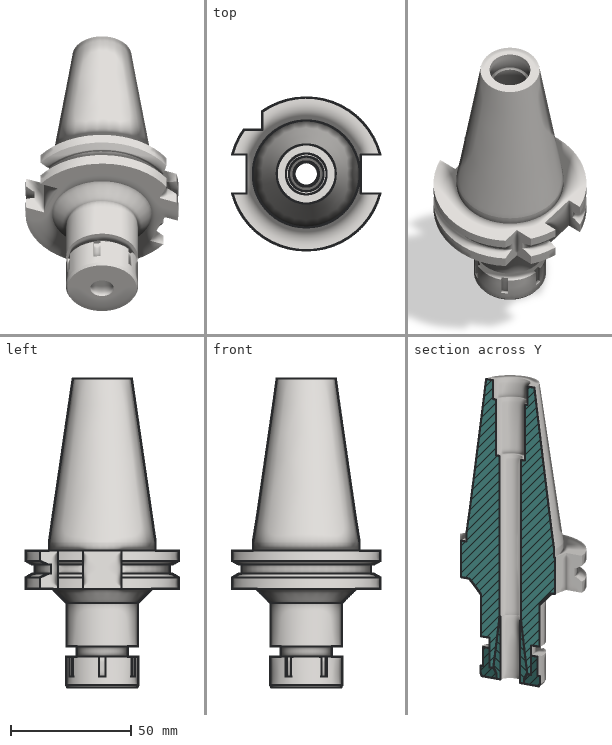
import cadquery as cq
import math

TOTAL_HEIGHT = 128.4

NUT_RADIUS = 15.0
NUT_HEIGHT = 12.8
NUT_CHAMFER_RADIAL = 0.6
NUT_CHAMFER_HEIGHT = 1.2
NUT_OPENING_RADIUS = 7.0
NUT_OPENING_DEPTH = 1.9
SLOT_COUNT = 6
SLOT_WIDTH = 2.8
SLOT_DEPTH = 1.3
SLOT_BOTTOM_Z = 4.6

COLLET_RADIUS = 8.5
COLLET_BORE_RADIUS = 4.9
COLLET_FRONT_ANGLE = 30.0
COLLET_REAR_ANGLE = 8.0

NECK_RADIUS = 10.7
NECK_TOP_Z = 17.1
NOSE_RADIUS = 14.9
SHOULDER_BOTTOM_Z = 35.2

FLANGE_DIAMETER = 63.5
FLANGE_BOTTOM_Z = 41.0
FLANGE_TOP_Z = 56.9
GROOVE_RADIUS = 28.1
GROOVE_CENTER_Z = 49.2
GROOVE_FLOOR_WIDTH = 3.7
GROOVE_MOUTH_WIDTH = 6.9
GROOVE_FLANK_ANGLE = 30.0
KEYWAY_WIDTH = 16.0
LEFT_KEYWAY_FLOOR = 24.9
RIGHT_KEYWAY_FLOOR = 22.7
NOTCH_OFFSET = 18.4

TAPER_BASE_RADIUS = 22.2
TAPER_BASE_Z = 60.2
TAPER_RATIO = 7 / 24

COUNTERBORE_RADIUS = 8.5
COUNTERBORE_DEPTH = 8.1
THREAD_BORE_RADIUS = 7.2
THREAD_BORE_DEPTH = 32.1
THROUGH_BORE_RADIUS = 5.3

front_cone_height = (COLLET_RADIUS - NUT_OPENING_RADIUS) / math.tan(math.radians(COLLET_FRONT_ANGLE))
mouth_z = NUT_OPENING_DEPTH + front_cone_height
rear_cone_height = (COLLET_RADIUS - THROUGH_BORE_RADIUS) / math.tan(math.radians(COLLET_REAR_ANGLE))
collet_top_z = mouth_z + rear_cone_height
flange_radius = FLANGE_DIAMETER / 2
shoulder_top_radius = NOSE_RADIUS + FLANGE_BOTTOM_Z - SHOULDER_BOTTOM_Z
taper_top_radius = TAPER_BASE_RADIUS - (TOTAL_HEIGHT - TAPER_BASE_Z) * TAPER_RATIO / 2
groove_flank_height = (GROOVE_MOUTH_WIDTH - GROOVE_FLOOR_WIDTH) / 2
groove_ledge_radius = flange_radius - groove_flank_height / math.tan(math.radians(GROOVE_FLANK_ANGLE))
groove_floor_bottom_z = GROOVE_CENTER_Z - GROOVE_FLOOR_WIDTH / 2
groove_floor_top_z = GROOVE_CENTER_Z + GROOVE_FLOOR_WIDTH / 2
flange_height = FLANGE_TOP_Z - FLANGE_BOTTOM_Z

RADIAL_PLANE = cq.Plane(origin=(0, 0, 0), xDir=(0, -1, 0), normal=(-1, 0, 0))


def turned(profile):
    """Revolve a closed (radius, z) outline around the Z axis."""
    return cq.Workplane(RADIAL_PLANE).polyline(profile).close().revolve(360, (0, 0), (0, 1))


def flange_cutter(x_min, x_max, y_min, y_max):
    """Rectangular block that cuts through the whole thickness of the flange."""
    return cq.Workplane("XY").box(
        x_max - x_min, y_max - y_min, flange_height, centered=False
    ).translate((x_min, y_min, FLANGE_BOTTOM_Z))


def make_holder_blank():
    """Turned outside: neck, nose, shoulder, taper and a flange whose groove has a flat ledge each side."""
    return turned([
        (0, mouth_z),
        (NECK_RADIUS, mouth_z),
        (NECK_RADIUS, NECK_TOP_Z),
        (NOSE_RADIUS, NECK_TOP_Z),
        (NOSE_RADIUS, SHOULDER_BOTTOM_Z),
        (shoulder_top_radius, FLANGE_BOTTOM_Z),
        (flange_radius, FLANGE_BOTTOM_Z),
        (flange_radius, groove_floor_bottom_z - groove_flank_height),
        (groove_ledge_radius, groove_floor_bottom_z),
        (GROOVE_RADIUS, groove_floor_bottom_z),
        (GROOVE_RADIUS, groove_floor_top_z),
        (groove_ledge_radius, groove_floor_top_z),
        (flange_radius, groove_floor_top_z + groove_flank_height),
        (flange_radius, FLANGE_TOP_Z),
        (TAPER_BASE_RADIUS, FLANGE_TOP_Z),
        (TAPER_BASE_RADIUS, TAPER_BASE_Z),
        (taper_top_radius, TOTAL_HEIGHT),
        (0, TOTAL_HEIGHT),
    ])


def make_holder_bore():
    """Stepped bore from the top, ending in the conical collet seat at the mouth."""
    counterbore_z = TOTAL_HEIGHT - COUNTERBORE_DEPTH
    thread_bore_z = TOTAL_HEIGHT - THREAD_BORE_DEPTH
    return turned([
        (0, mouth_z),
        (COLLET_RADIUS, mouth_z),
        (THROUGH_BORE_RADIUS, collet_top_z),
        (THROUGH_BORE_RADIUS, thread_bore_z),
        (THREAD_BORE_RADIUS, thread_bore_z),
        (THREAD_BORE_RADIUS, counterbore_z),
        (COUNTERBORE_RADIUS, counterbore_z),
        (COUNTERBORE_RADIUS, TOTAL_HEIGHT),
        (0, TOTAL_HEIGHT),
    ])


def make_holder():
    half_key = KEYWAY_WIDTH / 2
    left_keyway = flange_cutter(-flange_radius, -LEFT_KEYWAY_FLOOR, -half_key, half_key)
    right_keyway = flange_cutter(RIGHT_KEYWAY_FLOOR, flange_radius, -half_key, half_key)
    corner_notch = flange_cutter(-flange_radius, -NOTCH_OFFSET, NOTCH_OFFSET, flange_radius)
    holder = make_holder_blank().cut(make_holder_bore())
    return holder.cut(left_keyway).cut(right_keyway).cut(corner_notch)


def make_collet():
    """Hollow double cone that fills the seat in the holder and the opening in the nut."""
    return turned([
        (COLLET_BORE_RADIUS, 0),
        (NUT_OPENING_RADIUS, 0),
        (NUT_OPENING_RADIUS, NUT_OPENING_DEPTH),
        (COLLET_RADIUS, mouth_z),
        (THROUGH_BORE_RADIUS, collet_top_z),
        (COLLET_BORE_RADIUS, collet_top_z),
    ])


def make_nut():
    """Cup around the neck, with a conical opening for the collet and wrench slots outside."""
    nut = turned([
        (NUT_OPENING_RADIUS, 0),
        (NUT_RADIUS - NUT_CHAMFER_RADIAL, 0),
        (NUT_RADIUS, NUT_CHAMFER_HEIGHT),
        (NUT_RADIUS, NUT_HEIGHT),
        (NECK_RADIUS, NUT_HEIGHT),
        (NECK_RADIUS, mouth_z),
        (COLLET_RADIUS, mouth_z),
        (NUT_OPENING_RADIUS, NUT_OPENING_DEPTH),
    ])
    slot = cq.Workplane("XY").box(
        2 * SLOT_DEPTH, SLOT_WIDTH, NUT_HEIGHT - SLOT_BOTTOM_Z, centered=(True, True, False)
    ).translate((NUT_RADIUS, 0, SLOT_BOTTOM_Z))
    for index in range(SLOT_COUNT):
        nut = nut.cut(slot.rotate((0, 0, 0), (0, 0, 1), index * 360 / SLOT_COUNT))
    return nut


holder = make_holder()
collet = make_collet()
nut = make_nut()

result = cq.Compound.makeCompound([holder.val(), collet.val(), nut.val()])